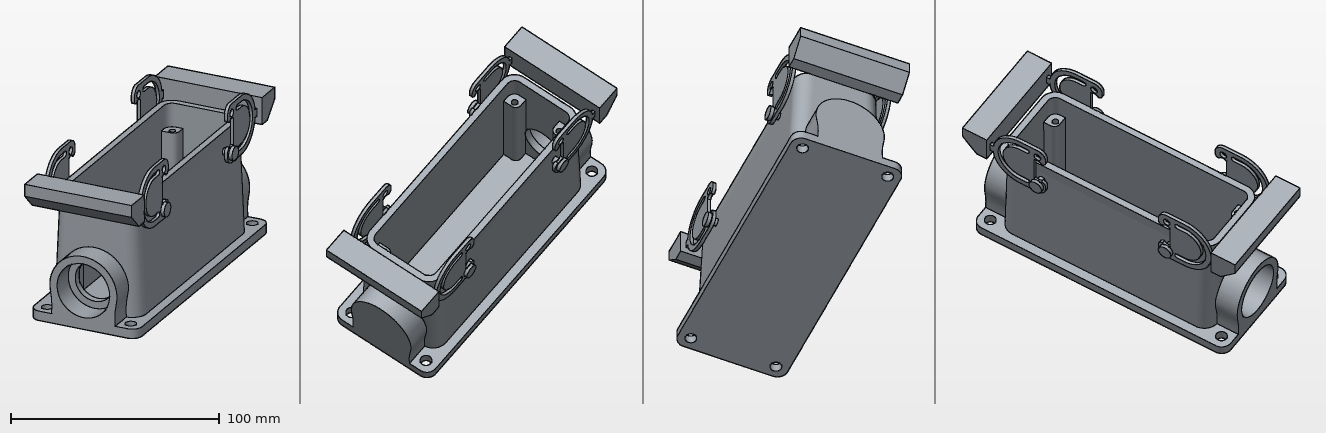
import cadquery as cq
import math

length = 156.0
flange_width = 57.5
overall_height = 80.0

flange_length = 144.6
flange_thickness = 5.0
flange_corner_radius = 5.3
mount_hole_radius = 2.8
mount_hole_x = 22.3
mount_hole_y = 66.1

body_length = 120.3
body_base_width = 47.9
rim_width = 42.9
body_corner_radius = 7.6
taper_top_z = 58.7
rim_z = 64.5

wall = 3.5
floor_z = 2.5
cavity_width = rim_width - 2 * wall
cavity_length = body_length - 2 * wall
end_wall_lean = 0.5
cavity_floor_length = cavity_length - 2 * end_wall_lean
cavity_corner_radius = body_corner_radius - wall

post_top_z = 52.1
post_inner_x = 10.0
post_inner_y = 49.5
post_corner_radius = 3.1
screw_hole_radius = 1.5
screw_hole_x = 13.4
screw_hole_y = 52.1
screw_hole_depth = 15.6

entry_z = 20.3
entry_radius = 18.0
entry_tangent_drop = 3.6
entry_foot_width = 34.0
entry_bore_radius = 14.0
entry_bore_depth = (flange_length - body_length) / 2
entry_hole_radius = 10.3

plate_inner_x = 24.0
plate_thickness = 1.7
lever_y = 47.0
lever_radius = 15.5
lever_z = overall_height - lever_radius
lever_straight_edge_y = 38.8
slot_inner_radius = 9.7
slot_outer_radius = 12.5
slot_end_y = 41.7
hook_end_y = 32.3
hook_corner_radius = 4.7
hook_tip_radius = 2.3
hook_tip_offset = 6.5
notch_top_offset = 8.0
notch_edge_offset = 7.0
eye_y = 37.0
eye_offset = 10.5
pin_radius = 1.9
head_radius = 3.6
head_thickness = 1.9

bar_width = 57.1
bar_depth = 13.9
bar_bottom_z = taper_top_z
bar_top_z = 72.9
bar_chamfer_width = 8.1
bar_chamfer_height = 8.0
neck_height = 4.2

sides = (-1, 1)


def rounded_block(size_x, size_y, bottom, top, radius):
    """Upright block centred on the Z axis with rounded vertical edges."""
    block = cq.Workplane("XY").workplane(offset=bottom).rect(size_x, size_y).extrude(top - bottom)
    return block.edges("|Z").fillet(radius)


def in_four_corners(solid):
    """Copies of a solid from the +X +Y quarter placed in all four quarters."""
    pair = solid.union(solid.mirror("YZ"))
    return pair.union(pair.mirror("XZ"))


def make_flange():
    return rounded_block(flange_width, flange_length, 0, flange_thickness, flange_corner_radius)


def make_mount_holes():
    points = [(i * mount_hole_x, j * mount_hole_y) for i in sides for j in sides]
    return cq.Workplane("XY").pushPoints(points).circle(mount_hole_radius).extrude(flange_thickness)


def make_housing():
    """Solid body with tapered sides below an upright rim band."""
    base_x = body_base_width / 2
    rim_x = rim_width / 2
    return (
        cq.Workplane("XZ")
        .moveTo(-base_x, flange_thickness)
        .lineTo(base_x, flange_thickness)
        .lineTo(rim_x, taper_top_z)
        .lineTo(rim_x, rim_z)
        .lineTo(-rim_x, rim_z)
        .lineTo(-rim_x, taper_top_z)
        .close()
        .extrude(body_length / 2, both=True)
        .faces("<Y or >Y")
        .edges("not #Z")
        .fillet(body_corner_radius)
    )


def make_cavity():
    """Inner space whose end walls lean inward toward the floor."""
    floor_y = cavity_floor_length / 2
    mouth_y = cavity_length / 2
    return (
        cq.Workplane("YZ")
        .moveTo(-floor_y, floor_z)
        .lineTo(floor_y, floor_z)
        .lineTo(mouth_y, rim_z)
        .lineTo(-mouth_y, rim_z)
        .close()
        .extrude(cavity_width / 2, both=True)
        .faces("<X or >X")
        .edges("not #Z")
        .fillet(cavity_corner_radius)
    )


def make_entry_bosses():
    """Round bosses on flanks that curve smoothly down to the flange."""
    tangent_x = math.sqrt(entry_radius ** 2 - entry_tangent_drop ** 2)
    half = (
        cq.Workplane("XZ")
        .moveTo(0, entry_z + entry_radius)
        .threePointArc((entry_radius, entry_z), (tangent_x, entry_z - entry_tangent_drop))
        .tangentArcPoint((entry_foot_width / 2, flange_thickness), relative=False)
        .lineTo(entry_foot_width / 2, 0)
        .lineTo(0, 0)
        .close()
        .extrude(flange_length / 2, both=True)
    )
    return half.union(half.mirror("YZ"))


def make_entry_bore():
    """Stepped opening through the -Y end into the cavity."""
    face = cq.Workplane("XZ", origin=(0, -flange_length / 2, entry_z))
    bore = face.circle(entry_bore_radius).extrude(-entry_bore_depth)
    hole = face.circle(entry_hole_radius).extrude(-(flange_length - cavity_floor_length) / 2)
    return bore.union(hole)


def make_posts():
    """Drilled posts filling the cavity corners, rooted halfway into the rim wall."""
    size_x = rim_width / 2 - wall / 2 - post_inner_x
    size_y = body_length / 2 - wall / 2 - post_inner_y
    post = (
        cq.Workplane("XY", origin=(post_inner_x, post_inner_y, 0))
        .rect(size_x, size_y, centered=False)
        .extrude(post_top_z)
        .edges("|Z and <X and <Y")
        .fillet(post_corner_radius)
    )
    mid_wall_radius = body_corner_radius - wall / 2
    envelope = rounded_block(rim_width - wall, body_length - wall, 0, post_top_z, mid_wall_radius)
    hole = (
        cq.Workplane("XY", origin=(screw_hole_x, screw_hole_y, post_top_z))
        .circle(screw_hole_radius)
        .extrude(-screw_hole_depth)
    )
    return in_four_corners(post.intersect(envelope).cut(hole))


def make_lever_plate():
    """Slotted plate with two hooked ends, mirrored about its mid height."""
    tip_y = hook_end_y + hook_tip_radius
    diagonal = math.sqrt(0.5)
    corner_y = hook_end_y + hook_corner_radius
    corner_offset = lever_radius - hook_corner_radius
    tip_centre_offset = hook_tip_offset + hook_tip_radius
    workplane = cq.Workplane("YZ", origin=(plate_inner_x, 0, lever_z))
    half = (
        workplane
        .moveTo(lever_straight_edge_y, 0)
        .lineTo(lever_straight_edge_y, notch_edge_offset)
        .threePointArc((eye_y, notch_top_offset), (tip_y, hook_tip_offset))
        .threePointArc(
            (tip_y - hook_tip_radius * diagonal, tip_centre_offset - hook_tip_radius * diagonal),
            (hook_end_y, tip_centre_offset),
        )
        .lineTo(hook_end_y, corner_offset)
        .threePointArc(
            (corner_y - hook_corner_radius * diagonal, corner_offset + hook_corner_radius * diagonal),
            (corner_y, lever_radius),
        )
        .lineTo(lever_y, lever_radius)
        .threePointArc(
            (lever_y + lever_radius * diagonal, lever_radius * diagonal),
            (lever_y + lever_radius, 0),
        )
        .close()
        .extrude(plate_thickness)
    )
    eye = workplane.center(eye_y, eye_offset).circle(pin_radius).extrude(plate_thickness)
    half = half.cut(eye)
    plate = half.union(half.mirror("XY", (0, 0, lever_z)))
    slot_width = slot_outer_radius - slot_inner_radius
    slot_end_centre_y = slot_end_y + slot_width / 2
    slot = (
        workplane
        .moveTo(slot_end_centre_y, slot_outer_radius)
        .lineTo(lever_y, slot_outer_radius)
        .threePointArc((lever_y + slot_outer_radius, 0), (lever_y, -slot_outer_radius))
        .lineTo(slot_end_centre_y, -slot_outer_radius)
        .threePointArc(
            (slot_end_y, -slot_outer_radius + slot_width / 2),
            (slot_end_centre_y, -slot_inner_radius),
        )
        .lineTo(lever_y, -slot_inner_radius)
        .threePointArc((lever_y + slot_inner_radius, 0), (lever_y, slot_inner_radius))
        .lineTo(slot_end_centre_y, slot_inner_radius)
        .threePointArc(
            (slot_end_y, slot_outer_radius - slot_width / 2),
            (slot_end_centre_y, slot_outer_radius),
        )
        .close()
        .extrude(plate_thickness)
    )
    neck_start_y = lever_y + (slot_outer_radius + lever_radius) / 2
    neck_end_y = length / 2 - bar_depth
    neck = (
        workplane
        .center((neck_start_y + neck_end_y) / 2, 0)
        .rect(neck_end_y - neck_start_y, neck_height)
        .extrude(plate_thickness)
    )
    return plate.cut(slot).union(neck)


def make_pivot():
    """Headed pin that carries the lever plate on the housing wall."""
    pin_start_x = rim_width / 2 - wall / 2
    pin_end_x = plate_inner_x + plate_thickness
    axis_z = lever_z - eye_offset
    pin = (
        cq.Workplane("YZ", origin=(pin_start_x, eye_y, axis_z))
        .circle(pin_radius)
        .extrude(pin_end_x - pin_start_x)
    )
    head = (
        cq.Workplane("YZ", origin=(pin_end_x, eye_y, axis_z))
        .circle(head_radius)
        .extrude(head_thickness)
    )
    return pin.union(head)


def make_handle_bar():
    """Bar at the +Y end with its lower outer edge cut off at a slant."""
    outer_y = length / 2
    inner_y = outer_y - bar_depth
    return (
        cq.Workplane("YZ")
        .moveTo(inner_y, bar_bottom_z)
        .lineTo(outer_y - bar_chamfer_width, bar_bottom_z)
        .lineTo(outer_y, bar_bottom_z + bar_chamfer_height)
        .lineTo(outer_y, bar_top_z)
        .lineTo(inner_y, bar_top_z)
        .close()
        .extrude(bar_width / 2, both=True)
    )


def make_handles():
    bar = make_handle_bar()
    bars = bar.union(bar.mirror("XZ"))
    return in_four_corners(make_lever_plate().union(make_pivot())).union(bars)


shell = make_flange().union(make_housing()).union(make_entry_bosses())
shell = shell.cut(make_cavity()).union(make_posts())
shell = shell.cut(make_entry_bore()).cut(make_mount_holes())

result = shell.union(make_handles())